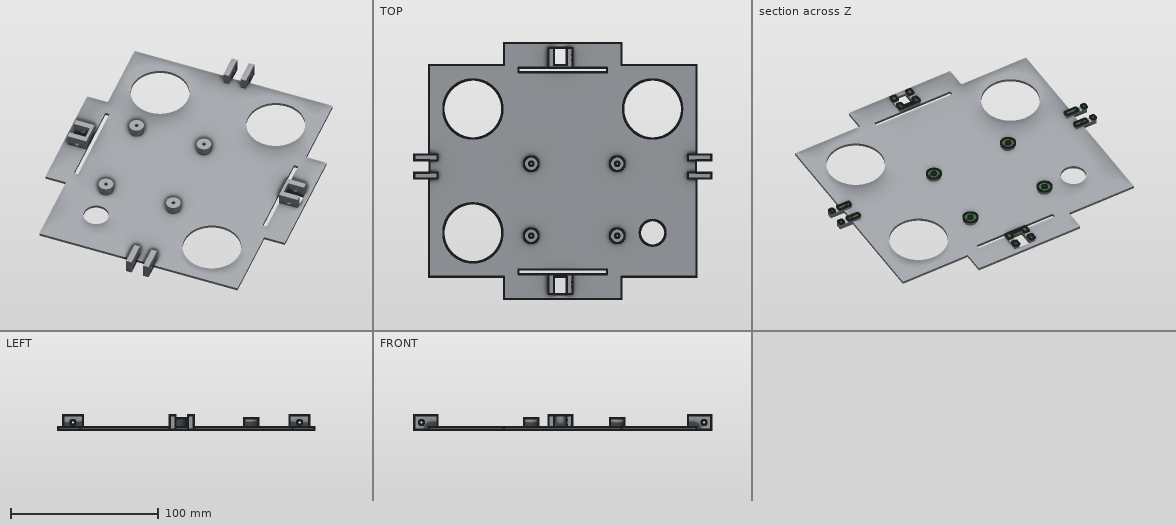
import cadquery as cq

plate_thickness = 2.0
body_length_x = 182.2
body_width_y = 144.2
tab_length_x = 80.0
tab_reach = 15.0
half_body_x = body_length_x / 2
half_body_y = body_width_y / 2
overall_width_y = body_width_y + 2 * tab_reach

opening_diameter = 40.0
opening_edge_inset = 30.0
small_opening_diameter = 17.25
opening_x = half_body_x - opening_edge_inset
opening_y = half_body_y - opening_edge_inset
opening_centers = [
    (-opening_x, opening_y),
    (opening_x, opening_y),
    (-opening_x, -opening_y),
]
small_opening_center = (opening_x, -opening_y)

slot_length = 60.0
slot_width = 3.0
slot_inset = 5.0
slot_inner_y = half_body_y - slot_inset
slot_outer_y = slot_inner_y + slot_width

standoff_diameter = 10.0
standoff_hole_diameter = 2.7
standoff_top = 8.0
standoff_pitch_x = 58.5
standoff_pitch_y = 49.0
standoff_center = (7.8, -19.6)

hinge_top = 10.0
hinge_pin_diameter = 3.2
hinge_pin_z = hinge_top / 2

bracket_center_x = -1.6
bracket_width = 16.2
bracket_gap = 8.4
bracket_inner_y = slot_outer_y
bracket_outer_y = 83.7
bracket_pin_y = 77.1

lug_length = 16.1
lug_overhang = 10.0
lug_thickness = 4.0
lug_gap = 8.4
lug_pair_center_y = 3.05
lug_pin_setback = 5.0
relief_depth = 0.5
lug_outer_x = half_body_x + lug_overhang


def block(x_range, y_range, z_range):
    """Axis-aligned box between the given limits."""
    lengths = [high - low for low, high in (x_range, y_range, z_range)]
    corner = (x_range[0], y_range[0], z_range[0])
    return cq.Workplane("XY").box(*lengths, centered=False).translate(corner)


def mirrored_limits(side, inner, outer):
    """Limits of a span from inner to outer, on the positive or negative side."""
    return tuple(sorted((side * inner, side * outer)))


def centered_limits(center, length):
    return (center - length / 2, center + length / 2)


def make_plate():
    plate = cq.Workplane("XY").rect(body_length_x, body_width_y).extrude(plate_thickness)
    tabs = cq.Workplane("XY").rect(tab_length_x, overall_width_y).extrude(plate_thickness)
    openings = (
        cq.Workplane("XY")
        .pushPoints(opening_centers)
        .circle(opening_diameter / 2)
        .extrude(plate_thickness)
    )
    small_opening = (
        cq.Workplane("XY")
        .center(*small_opening_center)
        .circle(small_opening_diameter / 2)
        .extrude(plate_thickness)
    )
    return plate.union(tabs).cut(openings).cut(small_opening)


def add_standoffs(part):
    def cylinders(diameter):
        return (
            cq.Workplane("XY")
            .center(*standoff_center)
            .rarray(standoff_pitch_x, standoff_pitch_y, 2, 2)
            .circle(diameter / 2)
            .extrude(standoff_top)
        )

    return part.union(cylinders(standoff_diameter)).cut(cylinders(standoff_hole_diameter))


def add_bracket(part, side):
    """U bracket on one tab; its gap, its pin hole and the slot behind it are cut through."""
    bracket = block(
        centered_limits(bracket_center_x, bracket_width),
        mirrored_limits(side, bracket_inner_y, bracket_outer_y),
        (0, hinge_top),
    )
    gap = block(
        centered_limits(bracket_center_x, bracket_gap),
        mirrored_limits(side, half_body_y, bracket_outer_y),
        (0, hinge_top),
    )
    slot = block(
        centered_limits(0, slot_length),
        mirrored_limits(side, slot_inner_y, slot_outer_y),
        (0, plate_thickness),
    )
    pin_hole = (
        cq.Workplane("YZ", origin=(bracket_center_x, side * bracket_pin_y, hinge_pin_z))
        .circle(hinge_pin_diameter / 2)
        .extrude(bracket_width / 2, both=True)
    )
    return part.union(bracket).cut(gap).cut(slot).cut(pin_hole)


def add_lug_pair(part, side):
    """Two hinge lugs on one X side, sharing a pin hole along Y."""
    lug_x = mirrored_limits(side, lug_outer_x - lug_length, lug_outer_x)
    pair_width = lug_gap + 2 * lug_thickness
    lug_pitch = lug_gap + lug_thickness
    relief = block(
        mirrored_limits(side, half_body_x - relief_depth, half_body_x),
        centered_limits(lug_pair_center_y, lug_gap),
        (0, plate_thickness),
    )
    part = part.cut(relief)
    for direction in (-1, 1):
        lug_y = lug_pair_center_y + direction * lug_pitch / 2
        part = part.union(block(lug_x, centered_limits(lug_y, lug_thickness), (0, hinge_top)))
    pin_x = side * (lug_outer_x - lug_pin_setback)
    pin_hole = (
        cq.Workplane("XZ", origin=(pin_x, lug_pair_center_y, hinge_pin_z))
        .circle(hinge_pin_diameter / 2)
        .extrude(pair_width / 2, both=True)
    )
    return part.cut(pin_hole)


result = add_standoffs(make_plate())
for side in (-1, 1):
    result = add_bracket(result, side)
    result = add_lug_pair(result, side)